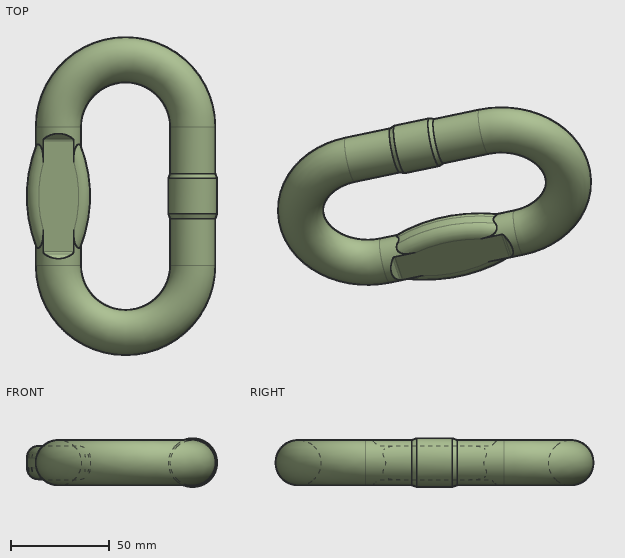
import cadquery as cq

overall_length = 161.0
rod_diameter = 23.0
bend_radius = 34.0
sleeve_diameter = 24.8
sleeve_length = 22.9
sleeve_chamfer_length = 2.4
plate_half_width = 16.1
plate_arc_radius = 69.2
plate_length = 57.3
plate_thickness = 17.0
plate_band_height = 5.1
flat_length = 57.3
flat_corner_radius = 1.6

rod_radius = rod_diameter / 2
straight_half = overall_length / 2 - bend_radius - rod_radius
plate_round = (plate_thickness - plate_band_height) / 2
flat_depth = rod_radius - plate_thickness / 2


def make_link():
    """Round rod swept around a closed oval."""
    path = (
        cq.Workplane("XY")
        .moveTo(bend_radius, -straight_half)
        .lineTo(bend_radius, straight_half)
        .threePointArc((0, straight_half + bend_radius), (-bend_radius, straight_half))
        .lineTo(-bend_radius, -straight_half)
        .threePointArc((0, -straight_half - bend_radius), (bend_radius, -straight_half))
        .close()
    )
    profile = cq.Workplane("XZ", origin=(bend_radius, -straight_half, 0)).circle(rod_radius)
    return profile.sweep(path)


def make_sleeve():
    """Collar around the +X leg, tapering down to the rod at both ends."""
    sleeve_radius = sleeve_diameter / 2
    end = sleeve_length / 2
    shoulder = end - sleeve_chamfer_length
    return (
        cq.Workplane("XY")
        .polyline([
            (0, -end),
            (rod_radius, -end),
            (sleeve_radius, -shoulder),
            (sleeve_radius, shoulder),
            (rod_radius, end),
            (0, end),
        ])
        .close()
        .revolve(360, (0, 0, 0), (0, 1, 0))
        .translate((bend_radius, 0, 0))
    )


def make_flat_cutter():
    """Trapezoidal cutter for the upper flat, with 45 degree end slopes."""
    floor = plate_thickness / 2
    top = floor + 2 * flat_depth
    floor_end = flat_length / 2
    top_end = floor_end + top - floor
    return (
        cq.Workplane("YZ")
        .polyline([(-floor_end, floor), (floor_end, floor), (top_end, top), (-top_end, top)])
        .close()
        .extrude(rod_radius, both=True)
        .edges("|X and <Z")
        .fillet(flat_corner_radius)
        .translate((-bend_radius, 0, 0))
    )


def make_plate():
    """Barrel-shaped plate around the -X leg with rounded long edges."""
    end = plate_length / 2
    sagitta = plate_arc_radius - (plate_arc_radius**2 - end**2) ** 0.5
    end_half_width = plate_half_width - sagitta
    return (
        cq.Workplane("XY")
        .moveTo(-end_half_width, -end)
        .lineTo(end_half_width, -end)
        .threePointArc((plate_half_width, 0), (end_half_width, end))
        .lineTo(-end_half_width, end)
        .threePointArc((-plate_half_width, 0), (-end_half_width, -end))
        .close()
        .extrude(plate_thickness / 2, both=True)
        .edges("%CIRCLE")
        .fillet(plate_round)
        .translate((-bend_radius, 0, 0))
    )


upper_flat = make_flat_cutter()
lower_flat = upper_flat.mirror("XY")
link = make_link().cut(upper_flat).cut(lower_flat)
result = link.union(make_sleeve()).union(make_plate())